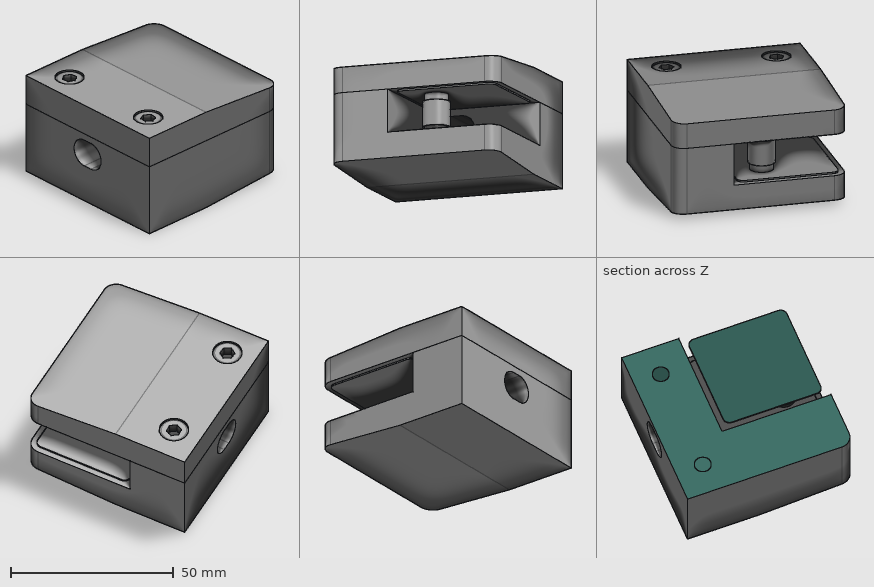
import cadquery as cq
import math

width = 55.0
depth = 55.0
jaw_thickness = 10.0
gap_height = 13.5
gap_top = jaw_thickness + gap_height
height = gap_top + jaw_thickness
flat_length = 24.0
taper_drop = 2.0
corner_radius = 4.0

wall_thickness = 19.0
gap_width = width - wall_thickness

slot_length = 12.0
slot_height = 9.0
slot_x = width / 2
gap_middle = jaw_thickness + gap_height / 2

pad_thickness = 0.5
pad_margin = 1.85
pad_corner_radius = corner_radius - pad_margin
pad_size_x = gap_width - 2 * pad_margin
pad_size_y = depth - wall_thickness - 2 * pad_margin

pin_x = 24.25
pin_y = 43.95
pin_diameter = 7.5
collar_diameter = 8.5
collar_height = 8.0

screw_margin_x = 10.0
screw_y = 9.0
screw_xs = [screw_margin_x, width - screw_margin_x]
head_diameter = 9.0
head_height = 5.0
head_recess = 0.3
counterbore_depth = head_height + head_recess
head_fillet = 0.6
shank_diameter = 5.0
thread_depth = 10.0
screw_hole_depth = jaw_thickness + thread_depth
screw_length = screw_hole_depth - head_recess
socket_flats = 4.0
socket_corners = socket_flats / math.cos(math.pi / 6)
socket_depth = 3.0
socket_angles = [5.0, -5.0]


def box_between(low, high):
    """Box spanning two opposite corners."""
    size = [end - start for start, end in zip(low, high)]
    return cq.Workplane("XY").box(*size, centered=False).translate(low)


def prism_along_x(side_outline):
    """Full-width prism from (Y, Z) points, with its upright open-end corners rounded."""
    prism = cq.Workplane("YZ").polyline(side_outline).close().extrude(width)
    return prism.edges("|Z and >Y").fillet(corner_radius)


def make_screw(x, socket_angle):
    """Socket cap screw with its head just below the top of the cover."""
    head = cq.Workplane("XY").circle(head_diameter / 2).extrude(-head_height)
    head = head.faces(">Z").edges().fillet(head_fillet)
    shank = cq.Workplane("XY").circle(shank_diameter / 2).extrude(-screw_length)
    socket = cq.Workplane("XY").polygon(6, socket_corners).extrude(-socket_depth)
    socket = socket.rotate((0, 0, 0), (0, 0, 1), socket_angle)
    return head.union(shank).cut(socket).translate((x, screw_y, height - head_recess))


def screw_holes():
    """Counterbored holes, open at the top of the cover, that the screws fill."""
    holes = cq.Workplane("XY", origin=(0, 0, height)).pushPoints([(x, screw_y) for x in screw_xs])
    counterbores = holes.circle(head_diameter / 2).extrude(-counterbore_depth)
    shank_holes = holes.circle(shank_diameter / 2).extrude(-screw_hole_depth)
    return counterbores.union(shank_holes)


def make_base():
    """Lower jaw with an L-shaped wall, open to -X and +Y."""
    body = prism_along_x([
        (0, 0),
        (flat_length, 0),
        (depth, taper_drop),
        (depth, gap_top),
        (0, gap_top),
    ])
    gap = box_between((0, wall_thickness, jaw_thickness), (gap_width, depth, gap_top))
    slot = (
        cq.Workplane("XZ", origin=(slot_x, 0, gap_middle))
        .slot2D(slot_length, slot_height)
        .extrude(-wall_thickness)
    )
    return body.cut(gap).cut(slot).cut(screw_holes())


def make_cover():
    """Upper jaw, tapering on its top face toward the open end."""
    body = prism_along_x([
        (0, gap_top),
        (depth, gap_top),
        (depth, height - taper_drop),
        (flat_length, height),
        (0, height),
    ])
    return body.cut(screw_holes())


def make_pad(bottom_z):
    """Thin rounded pad, set in from the edges of the gap."""
    low = (pad_margin, wall_thickness + pad_margin, bottom_z)
    high = (pad_margin + pad_size_x, wall_thickness + pad_margin + pad_size_y, bottom_z + pad_thickness)
    return box_between(low, high).edges("|Z").fillet(pad_corner_radius)


def cylinder_about_gap_middle(diameter, length):
    """Upright cylinder on the pin axis, centred on the mid height of the gap."""
    bottom = cq.Workplane("XY", origin=(pin_x, pin_y, gap_middle - length / 2))
    return bottom.circle(diameter / 2).extrude(length)


def make_pin():
    """Round pin between the pads, with a wider collar at mid height."""
    core = cylinder_about_gap_middle(pin_diameter, gap_height - 2 * pad_thickness)
    collar = cylinder_about_gap_middle(collar_diameter, collar_height)
    return core.union(collar)


base = make_base()
cover = make_cover()
pin = make_pin()
pads = [make_pad(bottom_z) for bottom_z in (jaw_thickness, gap_top - pad_thickness)]
screws = [make_screw(x, angle) for x, angle in zip(screw_xs, socket_angles)]

result = cq.Compound.makeCompound([body.val() for body in [base, cover, pin, *pads, *screws]])